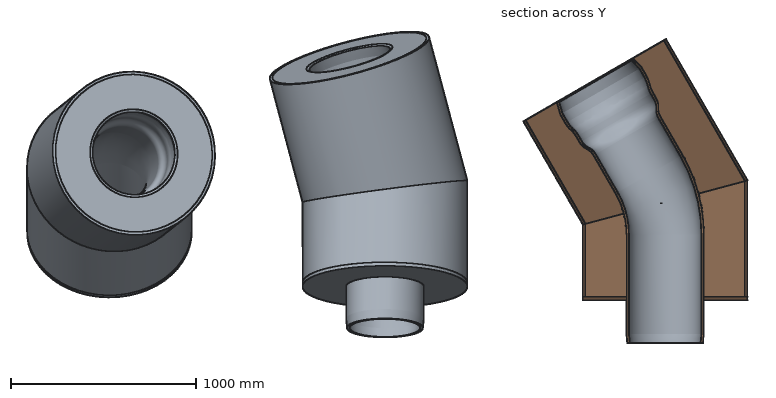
import cadquery as cq
import math

BEND_ANGLE = 30.0
LEG_LENGTH = 760.0
SPIGOT_PROJECTION = 230.0
CASING_LENGTH = LEG_LENGTH - SPIGOT_PROJECTION

JACKET_RADIUS = 890.0 / 2
FOAM_RADIUS = 858.0 / 2
END_CAP_THICKNESS = 20.0

WALL = 15.0
BORE_RADIUS = 390.0 / 2
PIPE_RADIUS = BORE_RADIUS + WALL
BEND_RADIUS = 650.0
BEND_TANGENT = BEND_RADIUS * math.tan(math.radians(BEND_ANGLE / 2))
SPIGOT_TAPER_LENGTH = 50.0
SPIGOT_END_INSET = 5.0

SOCKET_RADIUS = 450.0 / 2
GROOVE_RADIUS = SOCKET_RADIUS + WALL
RIM_CHAMFER_DEPTH = 7.0
GROOVE_START = 67.0
GROOVE_END = 122.0
SOCKET_START = 214.0
SOCKET_END = 251.0
PIPE_START = 348.0

OVERSIZE = 3 * LEG_LENGTH


def tilt(body, angle=BEND_ANGLE):
    """Turn a body about the Y axis through the elbow's corner."""
    return body.rotate((0, 0, 0), (0, 1, 0), angle)


def s_curve(profile, start, end):
    """Continue an axial line with two equal arcs that end parallel to the axis."""
    middle = ((start[0] + end[0]) / 2, (start[1] + end[1]) / 2)
    return profile.tangentArcPoint(middle, relative=False).tangentArcPoint(end, relative=False)


def socket_leg(offset):
    """Solid upper leg bounded by the bore surface moved outward by offset."""
    lip = SOCKET_RADIUS + offset
    groove = GROOVE_RADIUS + offset
    pipe = BORE_RADIUS + offset

    def at(radius, depth):
        return radius, LEG_LENGTH - depth

    profile = (
        cq.Workplane("XZ")
        .moveTo(0, LEG_LENGTH)
        .lineTo(*at(lip, 0))
        .lineTo(*at(lip, RIM_CHAMFER_DEPTH))
        .lineTo(*at(groove, GROOVE_START))
        .lineTo(*at(groove, GROOVE_END))
    )
    profile = s_curve(profile, at(groove, GROOVE_END), at(lip, SOCKET_START))
    profile = profile.lineTo(*at(lip, SOCKET_END))
    profile = s_curve(profile, at(lip, SOCKET_END), at(pipe, PIPE_START))
    profile = profile.lineTo(pipe, BEND_TANGENT).lineTo(0, BEND_TANGENT).close()
    return tilt(profile.revolve(360, (0, 0), (0, 1)))


def bend(radius):
    """Solid round bend that joins the two legs."""
    section = cq.Workplane("XY").workplane(offset=-BEND_TANGENT).circle(radius)
    return section.revolve(BEND_ANGLE, (BEND_RADIUS, 0), (BEND_RADIUS, 1))


def lower_leg(radius):
    """Solid lower leg from the bend down to the tapered spigot end."""
    return (
        cq.Workplane("XZ")
        .moveTo(0, -BEND_TANGENT)
        .lineTo(radius, -BEND_TANGENT)
        .lineTo(radius, SPIGOT_TAPER_LENGTH - LEG_LENGTH)
        .lineTo(radius - SPIGOT_END_INSET, -LEG_LENGTH)
        .lineTo(0, -LEG_LENGTH)
        .close()
        .revolve(360, (0, 0), (0, 1))
    )


def pipe_envelope(offset):
    """Solid bounded by the whole pipe's bore surface moved outward by offset."""
    radius = BORE_RADIUS + offset
    return socket_leg(offset).union(bend(radius)).union(lower_leg(radius))


def rim_chamfer():
    """Cone that bevels the socket's rim over the full wall."""
    cone = cq.Solid.makeCone(
        SOCKET_RADIUS, SOCKET_RADIUS + WALL, RIM_CHAMFER_DEPTH,
        pnt=cq.Vector(0, 0, LEG_LENGTH - RIM_CHAMFER_DEPTH),
    )
    return tilt(cq.Workplane(cone))


def miter_block():
    """Block that fills the space above the plane halving the bend angle."""
    block = cq.Workplane("XY").box(OVERSIZE, OVERSIZE, OVERSIZE, centered=(True, True, False))
    return tilt(block, BEND_ANGLE / 2)


def lower_casing(radius):
    """Solid lower casing cylinder above the end cap, cut at the miter plane."""
    cylinder = (
        cq.Workplane("XY").workplane(offset=END_CAP_THICKNESS - CASING_LENGTH)
        .circle(radius).extrude(LEG_LENGTH + CASING_LENGTH)
    )
    return cylinder.cut(miter_block())


def upper_casing(radius):
    """Solid upper casing cylinder, cut at the miter plane."""
    cylinder = cq.Workplane("XY").workplane(offset=-LEG_LENGTH).circle(radius).extrude(2 * LEG_LENGTH)
    return tilt(cylinder).intersect(miter_block())


envelope = pipe_envelope(WALL)

pipe = envelope.cut(pipe_envelope(0)).cut(rim_chamfer())

jackets = [casing(JACKET_RADIUS).cut(casing(FOAM_RADIUS)) for casing in (lower_casing, upper_casing)]

foam_fills = [casing(FOAM_RADIUS).cut(envelope) for casing in (lower_casing, upper_casing)]

end_cap = (
    cq.Workplane("XY").workplane(offset=-CASING_LENGTH)
    .circle(JACKET_RADIUS).circle(PIPE_RADIUS).extrude(END_CAP_THICKNESS)
)

bodies = [pipe, *jackets, *foam_fills, end_cap]
result = cq.Compound.makeCompound([body.val() for body in bodies])